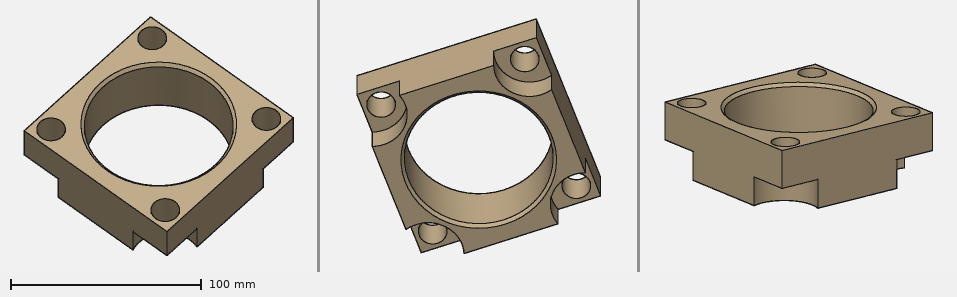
import cadquery as cq

side = 100.0
height = 37.0

bore_diameter = 78.0
bore_chamfer = 1.8

hole_diameter = 15.0
hole_spacing = 80.0
relief_diameter = 37.5
relief_spacing = 88.0
relief_height = 16.0


def corner_relief(x_sign, y_sign):
    """Cylinder set outboard of a bolt hole, wide enough to clear the whole corner."""
    x_center = x_sign * relief_spacing / 2
    y_center = y_sign * relief_spacing / 2
    return (
        cq.Workplane("XY")
        .center(x_center, y_center)
        .circle(relief_diameter / 2)
        .extrude(relief_height)
    )


body = cq.Workplane("XY").box(side, side, height, centered=(True, True, False))
body = body.faces(">Z").workplane().hole(bore_diameter)
body = body.edges("%CIRCLE").chamfer(bore_chamfer)

body = (
    body.faces(">Z")
    .workplane(origin=(0, 0, height))
    .rect(hole_spacing, hole_spacing, forConstruction=True)
    .vertices()
    .hole(hole_diameter)
)

for x_sign in (-1, 1):
    for y_sign in (-1, 1):
        body = body.cut(corner_relief(x_sign, y_sign))

result = body